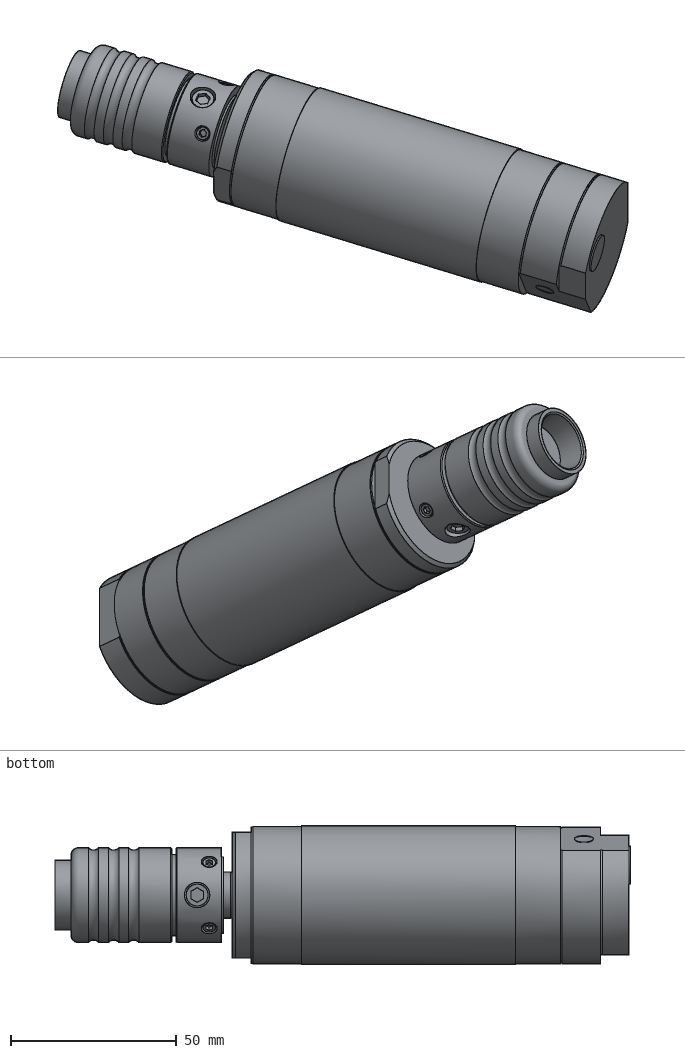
import cadquery as cq
import math

total_length = 173.5
sleeve_diameter = 42.0
body_diameter = 41.5
ring_diameter = 28.6

collar_start = 4.9
collar_end = 35.2
ring_start = 36.5
ring_end = 50.1
lip_end = 50.8
flange_start = 53.5
body_start = 59.2
sleeve_start = 74.3
sleeve_end = 138.8
head_start = 152.3
end_cap_start = 164.5
body_end = 173.0

nose_diameter = 21.2
bore_mouth_diameter = 18.7
bore_floor_diameter = 16.0
bore_depth = 8.2
bore_bevel_diameter = 17.7
bore_bevel_depth = 0.3
collar_face_diameter = 25.0
collar_round_length = 2.3
collar_round_height = (ring_diameter - collar_face_diameter) / 2
collar_round_radius = (collar_round_length**2 + collar_round_height**2) / (2 * collar_round_height)
ring_gap_diameter = 24.6
gap_edge_chamfer = 0.3
lip_diameter = 23.0
neck_diameter = 14.0
neck_relief_diameter = 13.9
neck_relief_width = 0.5

grip_groove_count = 3
grip_groove_first = 10.0
grip_groove_pitch = 6.0
grip_groove_width = 3.1
grip_groove_depth = 0.7

large_screw_x = 42.9
large_screw_hole = 7.6
large_screw_diameter = 6.6
large_screw_top = 13.2
large_socket_flats = 3.8
small_screw_x = 46.5
small_screw_hole = 4.7
small_screw_diameter = 3.8
small_screw_top = 13.9
small_socket_flats = 2.0
screw_seat_radius = 11.3
socket_depth = 1.4
hexagon_turn = 30.0

flange_chamfer = 1.0
flange_across_flats = 38.0
joint_width = 0.5
joint_depth = 0.2
cap_across_flats = 36.1
tilted_flat_angle = 20.0
dimple_x = 159.5
dimple_diameter = 5.7
dimple_floor_radius = 13.9
plug_diameter = 11.5
plug_offset = 9.0


def cylinder(x_start, x_end, diameter):
    """Solid cylinder on the X axis between two stations."""
    return cq.Workplane("YZ", origin=(x_start, 0, 0)).circle(diameter / 2).extrude(x_end - x_start)


def box(x_start, x_end, y_start, y_end, z_half):
    """Box symmetric about Z = 0."""
    size = (x_end - x_start, y_end - y_start, 2 * z_half)
    return cq.Workplane("XY").box(*size, centered=(False, False, True)).translate((x_start, y_start, 0))


def make_collar():
    """Rounded collar with shallow concave grip grooves."""
    radius = ring_diameter / 2
    profile = (
        cq.Workplane("XY")
        .moveTo(collar_start, 0)
        .lineTo(collar_start, collar_face_diameter / 2)
        .radiusArc((collar_start + collar_round_length, radius), collar_round_radius)
    )
    for i in range(grip_groove_count):
        left = grip_groove_first + i * grip_groove_pitch
        middle = left + grip_groove_width / 2
        right = left + grip_groove_width
        profile = profile.lineTo(left, radius)
        profile = profile.threePointArc((middle, radius - grip_groove_depth), (right, radius))
    profile = profile.lineTo(collar_end, radius).lineTo(collar_end, 0).close()
    collar = profile.revolve(360, (0, 0, 0), (1, 0, 0))
    return collar.faces(">X").edges().chamfer(gap_edge_chamfer)


def make_bore():
    """Tapered blind bore in the nose with a bevelled mouth."""
    profile = [
        (0, 0),
        (0, bore_mouth_diameter / 2),
        (bore_bevel_depth, bore_bevel_diameter / 2),
        (bore_depth, bore_floor_diameter / 2),
        (bore_depth, 0),
    ]
    return cq.Workplane("XY").polyline(profile).close().revolve(360, (0, 0, 0), (1, 0, 0))


def radial_plane(x, angle, radius):
    """Plane facing away from the X axis; the angle is measured from +Y towards +Z."""
    c = math.cos(math.radians(angle))
    s = math.sin(math.radians(angle))
    return cq.Plane(origin=(x, radius * c, radius * s), xDir=(1, 0, 0), normal=(0, c, s))


def fit_screw(solid, x, angle, hole, diameter, top, socket_flats):
    """Sink a socket set screw in a radial hole."""
    seat = radial_plane(x, angle, screw_seat_radius)
    screw_head = radial_plane(x, angle, top)
    corner_diameter = socket_flats / math.cos(math.radians(hexagon_turn))
    pocket = cq.Workplane(seat).circle(hole / 2).extrude(ring_diameter)
    screw = cq.Workplane(seat).circle(diameter / 2).extrude(top - screw_seat_radius)
    socket = (
        cq.Workplane(screw_head)
        .transformed(rotate=(0, 0, hexagon_turn))
        .polygon(6, corner_diameter)
        .extrude(-socket_depth)
    )
    return solid.cut(pocket).union(screw.cut(socket))


def make_front():
    """Nose, collar and screwed ring on a thin neck."""
    ring = cylinder(ring_start, ring_end, ring_diameter).faces("<X").edges().chamfer(gap_edge_chamfer)
    for angle in (90, -90):
        ring = fit_screw(ring, large_screw_x, angle, large_screw_hole, large_screw_diameter,
                         large_screw_top, large_socket_flats)
    for angle in (45, 135, 225, 315):
        ring = fit_screw(ring, small_screw_x, angle, small_screw_hole, small_screw_diameter,
                         small_screw_top, small_socket_flats)
    relief_start = flange_start - neck_relief_width
    return (
        cylinder(0, collar_start, nose_diameter)
        .union(make_collar())
        .union(cylinder(collar_end, ring_start, ring_gap_diameter))
        .union(ring)
        .union(cylinder(ring_end, lip_end, lip_diameter))
        .union(cylinder(lip_end, relief_start, neck_diameter))
        .union(cylinder(relief_start, flange_start, neck_relief_diameter))
        .cut(make_bore())
    )


def cut_flat_pair(solid, x_start, x_end, across_flats):
    """Mill two parallel flats facing -Y and +Y."""
    for side in (-1, 1):
        near, far = sorted((side * across_flats / 2, side * sleeve_diameter))
        solid = solid.cut(box(x_start, x_end, near, far, sleeve_diameter))
    return solid


def cut_joint(solid, x):
    """Fine groove marking a joint between two housing sections."""
    band = cylinder(x, x + joint_width, 2 * sleeve_diameter)
    return solid.cut(band.cut(cylinder(x, x + joint_width, body_diameter - 2 * joint_depth)))


def make_dimple():
    """Round shallow dimple in the tilted flat, its floor hollowed along X only."""
    flat_plane = radial_plane(dimple_x, 180 + tilted_flat_angle, cap_across_flats / 2)
    half_width = dimple_diameter / 2
    axis_height = math.sqrt(dimple_floor_radius**2 - half_width**2)
    outline = cq.Workplane(flat_plane).circle(half_width).extrude(half_width, both=True)
    hollow = (
        cq.Workplane("XY")
        .circle(dimple_floor_radius)
        .extrude(dimple_diameter, both=True)
        .translate((dimple_x, -cap_across_flats / 2 - axis_height, 0))
        .rotate((0, 0, 0), (1, 0, 0), tilted_flat_angle)
    )
    return outline.intersect(hollow)


def make_body():
    """Main housing with sleeve, joints, wrench flats, dimple and end plug."""
    body = cylinder(flange_start, body_end, body_diameter).faces("<X").edges().chamfer(flange_chamfer)
    body = body.union(cylinder(sleeve_start, sleeve_end, sleeve_diameter))
    for x in (body_start, head_start, end_cap_start):
        body = cut_joint(body, x)
    body = cut_flat_pair(body, flange_start, body_start, flange_across_flats)
    body = cut_flat_pair(body, end_cap_start, body_end, cap_across_flats)

    flat_cutter = box(head_start, body_end, -sleeve_diameter, -cap_across_flats / 2, sleeve_diameter)
    body = body.cut(flat_cutter.rotate((0, 0, 0), (1, 0, 0), tilted_flat_angle))
    body = body.cut(make_dimple())

    plug = cylinder(body_end, total_length, plug_diameter).translate((0, -plug_offset, plug_offset))
    return body.union(plug)


result = make_front().union(make_body())